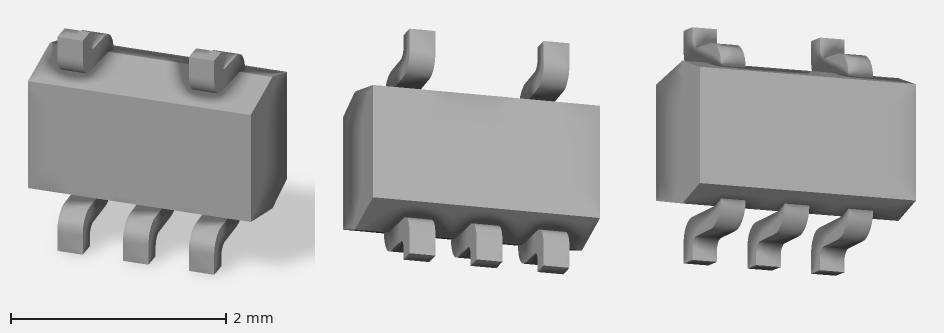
import cadquery as cq
import math

body_length = 2.2
overall_height = 2.2
body_front = 0.1
body_back = 1.1
ridge_y = 0.7
ridge_half_height = 0.675
shoulder_half_height = 0.55

lead_width = 0.25
lead_thickness = 0.2
lead_pitch = 0.65
lead_back = 0.851
root_inner_y = 0.7
root_z = 0.55
arm_corner_z = 0.893
arm_slope = math.radians(2)
foot_inner_radius = 0.1
foot_outer_radius = 0.2
shoulder_radius = 0.25

UPPER_SIDE = 1
LOWER_SIDE = -1


def make_body():
    """Prism with a shallow ridge along each end."""
    return (
        cq.Workplane("YZ")
        .moveTo(body_front, -shoulder_half_height)
        .lineTo(ridge_y, -ridge_half_height)
        .lineTo(body_back, -shoulder_half_height)
        .lineTo(body_back, shoulder_half_height)
        .lineTo(ridge_y, ridge_half_height)
        .lineTo(body_front, shoulder_half_height)
        .close()
        .extrude(body_length / 2, both=True)
    )


def make_lead(x, side):
    """Gull-wing lead: buried root, slightly sloped arm and a foot along Z."""
    tip_z = overall_height / 2
    foot_inner_y = lead_thickness

    def arm_outer_z(y):
        return arm_corner_z - (y - foot_inner_y) * math.tan(arm_slope)

    def arm_inner_z(y):
        return arm_outer_z(y) - lead_thickness / math.cos(arm_slope)

    outline = [
        (0, tip_z),
        (foot_inner_y, tip_z),
        (foot_inner_y, arm_outer_z(foot_inner_y)),
        (lead_back, arm_outer_z(lead_back)),
        (lead_back, root_z),
        (root_inner_y, root_z),
        (root_inner_y, arm_inner_z(root_inner_y)),
        (0, arm_inner_z(0)),
    ]
    lead = cq.Workplane("YZ").polyline(outline).close().extrude(lead_width / 2, both=True)

    bends = [
        (foot_inner_y, arm_outer_z(foot_inner_y), foot_inner_radius),
        (lead_back, arm_outer_z(lead_back), shoulder_radius),
        (0, arm_inner_z(0), foot_outer_radius),
    ]
    for y, z, radius in bends:
        corner = cq.selectors.NearestToPointSelector((0, y, z))
        lead = lead.edges("|X").edges(corner).fillet(radius)

    if side == LOWER_SIDE:
        lead = lead.mirror("XY")
    return lead.translate((x, 0, 0))


lead_rows = {
    UPPER_SIDE: [-lead_pitch, lead_pitch],
    LOWER_SIDE: [-lead_pitch, 0, lead_pitch],
}

result = make_body()
for side, positions in lead_rows.items():
    for x in positions:
        result = result.union(make_lead(x, side))